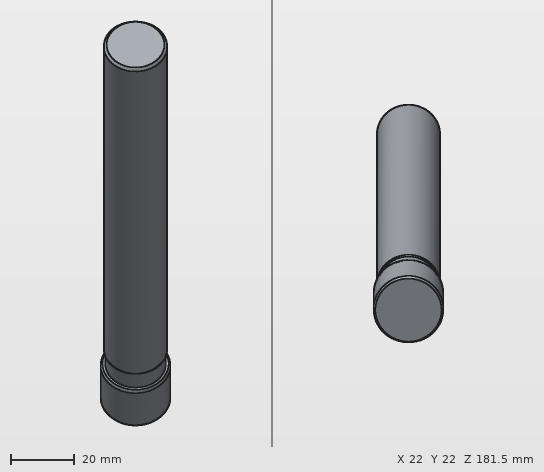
import cadquery as cq

total_length = 181.5
head_diameter = 22.0
shank_diameter = 20.0
neck_diameter = 19.0

head_height = 18.3
shank_start = 25.5

head_chamfer_width = 0.58
head_chamfer_height = 1.0
tip_chamfer_width = 0.9
tip_chamfer_height = 0.9

head_radius = head_diameter / 2
head_face_radius = head_radius - head_chamfer_width
shank_radius = shank_diameter / 2
neck_radius = neck_diameter / 2
tip_radius = shank_radius - tip_chamfer_width

shoulder_height = shank_radius - neck_radius

outline = [
    (0, 0),
    (head_face_radius, 0),
    (head_radius, head_chamfer_height),
    (head_radius, head_height - head_chamfer_height),
    (head_face_radius, head_height),
    (neck_radius, head_height),
    (neck_radius, shank_start),
    (shank_radius, shank_start + shoulder_height),
    (shank_radius, total_length - tip_chamfer_height),
    (tip_radius, total_length),
    (0, total_length),
]

result = cq.Workplane("XZ").polyline(outline).close().revolve(360, (0, 0, 0), (0, 1, 0))